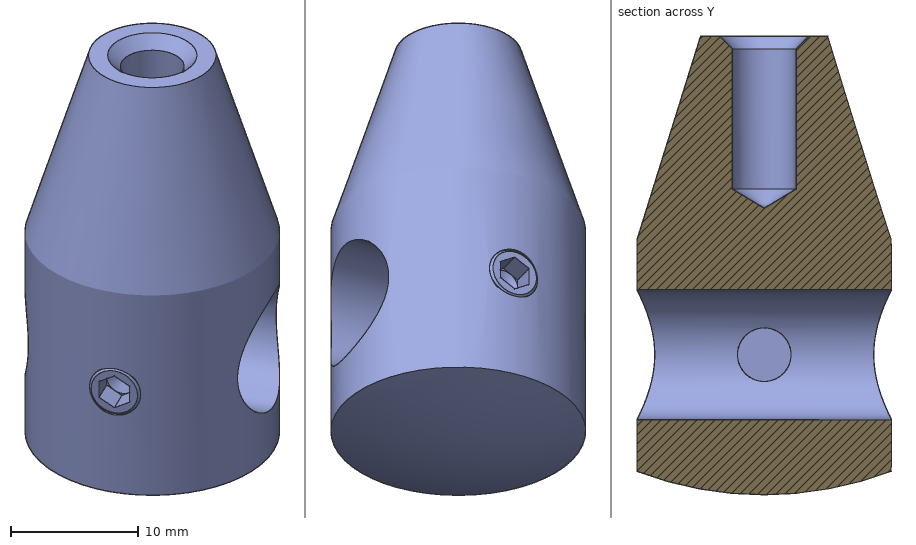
import cadquery as cq
import math

body_radius = 10.0
body_height = 36.0
cone_height = 16.0
cone_start_z = body_height - cone_height
cone_top_radius = 5.0
dome_radius = 28.0
dome_height = dome_radius - math.sqrt(dome_radius**2 - body_radius**2)

top_hole_diameter = 5.0
top_hole_depth = 12.0
countersink_diameter = 7.0
countersink_angle = 90.0
drill_point_angle = 118.0

cross_hole_diameter = 10.2
cross_hole_z = 11.0

screw_diameter = 4.2
screw_length = 5.0
screw_face_y = -body_radius
screw_chamfer = 0.2
socket_across_flats = 2.5
socket_across_corners = socket_across_flats / math.cos(math.radians(30))
socket_depth = 2.0


def cone_depth(diameter, included_angle):
    """Height of a full cone with the given base diameter and point angle."""
    return diameter / 2 / math.tan(math.radians(included_angle / 2))


def make_blank():
    """Turned outside shape: domed foot, cylinder and tapered top."""
    half_chord = body_radius / 2
    half_chord_z = dome_radius - math.sqrt(dome_radius**2 - half_chord**2)
    return (
        cq.Workplane("XZ")
        .moveTo(0, 0)
        .threePointArc((half_chord, half_chord_z), (body_radius, dome_height))
        .lineTo(body_radius, cone_start_z)
        .lineTo(cone_top_radius, body_height)
        .lineTo(0, body_height)
        .close()
        .revolve(360, (0, 0, 0), (0, 1, 0))
    )


def make_top_hole():
    """Cutter for the countersunk blind hole with its drill point."""
    hole_radius = top_hole_diameter / 2
    countersink_depth = cone_depth(countersink_diameter - top_hole_diameter, countersink_angle)
    hole_floor_z = body_height - top_hole_depth
    return (
        cq.Workplane("XZ")
        .moveTo(0, body_height)
        .lineTo(countersink_diameter / 2, body_height)
        .lineTo(hole_radius, body_height - countersink_depth)
        .lineTo(hole_radius, hole_floor_z)
        .lineTo(0, hole_floor_z - cone_depth(top_hole_diameter, drill_point_angle))
        .close()
        .revolve(360, (0, 0, 0), (0, 1, 0))
    )


def make_cross_hole():
    """Cutter for the through hole along X."""
    return (
        cq.Workplane("YZ")
        .center(0, cross_hole_z)
        .circle(cross_hole_diameter / 2)
        .extrude(body_radius, both=True)
    )


def screw_face_plane():
    """Plane on the outer screw face, its normal pointing into the body."""
    return cq.Plane(origin=(0, screw_face_y, cross_hole_z), xDir=(0, 0, 1), normal=(0, 1, 0))


def make_screw_hole():
    """Cutter for the set screw hole, running from the side wall into the cross hole."""
    return cq.Workplane(screw_face_plane()).circle(screw_diameter / 2).extrude(body_radius)


def make_clamp_body():
    return make_blank().cut(make_top_hole()).cut(make_cross_hole()).cut(make_screw_hole())


def make_socket():
    """Cutter for the hexagon socket with its conical floor, corners pointing along Z."""
    hexagon = (
        cq.Workplane(screw_face_plane())
        .polygon(6, socket_across_corners)
        .extrude(socket_depth)
    )
    floor_point = cq.Solid.makeCone(
        socket_across_flats / 2,
        0,
        cone_depth(socket_across_flats, drill_point_angle),
        pnt=cq.Vector(0, screw_face_y + socket_depth, cross_hole_z),
        dir=cq.Vector(0, 1, 0),
    )
    return hexagon.union(cq.Workplane(floor_point))


def make_set_screw():
    """Headless screw with a chamfered outer rim and a flat tip."""
    shank = cq.Workplane(screw_face_plane()).circle(screw_diameter / 2).extrude(screw_length)
    return shank.faces("<Y").chamfer(screw_chamfer).cut(make_socket())


clamp_body = make_clamp_body()
set_screw = make_set_screw()

result = cq.Compound.makeCompound([clamp_body.solids().val(), set_screw.solids().val()])